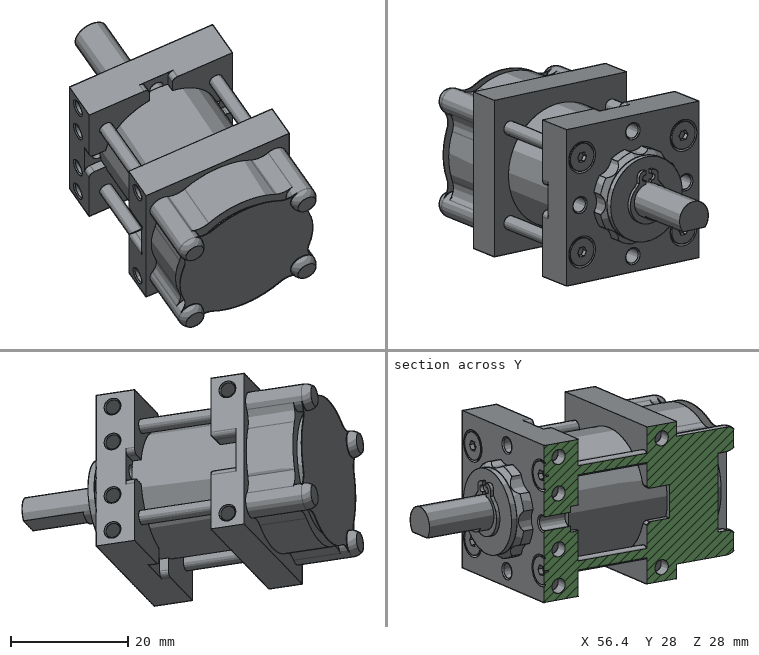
import cadquery as cq
import math

TOTAL_LENGTH = 56.4
FLAT_END = 10.9
CLIP_START = 13.1
WASHER_START = 13.75
NUT_START = 14.9
FRONT_PLATE_START = 17.7
FRONT_PLATE_THICK = 7.0
REAR_PLATE_START = 38.65
REAR_PLATE_THICK = 6.1
HOUSING_END = 53.25
RIM_END = 54.2
SHEET_START = 54.75
SHEET_END = 54.9

FRONT_PLATE_END = FRONT_PLATE_START + FRONT_PLATE_THICK
REAR_PLATE_END = REAR_PLATE_START + REAR_PLATE_THICK

PLATE_SIZE = 28.0
HALF_PLATE = PLATE_SIZE / 2

SHAFT_RADIUS = 3.05
SHAFT_FLAT_DEPTH = 2.0

CLIP_RADIUS = 3.9
CLIP_DROP = 0.35
LUG_TOP = 5.35
LUG_HALF_WIDTH = 2.0
LUG_CORNER_RADIUS = 1.05
LUG_GAP = 1.1
LUG_FOOT_Z = 3.25
LUG_BLEND = (3.1, 2.0)
LUG_HOLE_RADIUS = 0.55
LUG_HOLE_Y = 0.75
LUG_HOLE_Z = 4.05

WASHER_RADIUS = 7.55
NUT_RADIUS = 8.4
NUT_CHAMFER = 0.9
SCALLOP_COUNT = 8
SCALLOP_RADIUS = 3.1
SCALLOP_OFFSET = 10.8

BODY_RADIUS = 11.0
ROD_RADIUS = 1.25
ROD_Y = 10.7
ROD_Z = 8.45

HOUSING_RADIUS = 13.0
POST_RADIUS = 2.3
POST_Y = 10.95
POST_Z = 9.2
POST_BLEND_RADIUS = 3.4
RIM_RADIUS = 11.0

TAP_RADIUS = 1.3
TAP_MOUTH_RADIUS = 1.5
TAP_DEPTH = 4.5
FACE_TAP_OFFSET = 11.15
OUTER_TAP_Z = 11.45
INNER_TAP_Z = 4.95
FRONT_TAP_X = 20.7
REAR_TAP_X = 41.7

SCREW_HEAD_RADIUS = 2.5
SCREW_MOUTH_RADIUS = 2.8
SOCKET_FLATS = 1.65
SOCKET_DEPTH = 0.9

FRONT_NOTCH_DEPTH = 1.6
FRONT_NOTCH_HALF_WIDTH = 2.25
REAR_NOTCH_DEPTH = 4.55
REAR_NOTCH_HALF_WIDTH = 2.95
NOTCH_MOUTH_RADIUS = 1.0
REAR_NOTCH_CHAMFER = 0.5


def cylinder(radius, x_start, x_end, y=0, z=0):
    return cq.Workplane("YZ", origin=(x_start, y, z)).circle(radius).extrude(x_end - x_start)


def plate(x_start, thickness):
    return cq.Workplane("YZ", origin=(x_start, 0, 0)).rect(PLATE_SIZE, PLATE_SIZE).extrude(thickness)


def four_corners(y, z):
    return [(sy * y, sz * z) for sy in (1, -1) for sz in (1, -1)]


def tap_hole(mouth, direction, depth):
    """A drilled hole with a 45 degree countersunk mouth."""
    mouth = cq.Vector(*mouth)
    direction = cq.Vector(*direction)
    bore = cq.Solid.makeCylinder(TAP_RADIUS, depth, mouth, direction)
    sink = cq.Solid.makeCone(
        TAP_MOUTH_RADIUS, TAP_RADIUS, TAP_MOUTH_RADIUS - TAP_RADIUS, mouth, direction
    )
    return cq.Workplane(bore).union(cq.Workplane(sink))


def screw_groove(y, z):
    """V groove left between a flush screw head and its countersunk hole mouth."""
    depth = SCREW_MOUTH_RADIUS - SCREW_HEAD_RADIUS
    mouth = cq.Solid.makeCone(
        SCREW_MOUTH_RADIUS,
        SCREW_HEAD_RADIUS,
        depth,
        cq.Vector(FRONT_PLATE_START, y, z),
        cq.Vector(1, 0, 0),
    )
    head = cylinder(SCREW_HEAD_RADIUS, FRONT_PLATE_START, FRONT_PLATE_START + depth, y, z)
    return cq.Workplane(mouth).cut(head)


def screw_socket(y, z):
    """Hexagon socket with its flats at top and bottom."""
    socket = (
        cq.Workplane("YZ", origin=(FRONT_PLATE_START, y, z))
        .polygon(6, SOCKET_FLATS, circumscribed=True)
        .extrude(SOCKET_DEPTH)
    )
    return socket.rotate((0, y, z), (1, y, z), 30)


def notch(x_start, depth, half_width):
    """Cutter for a notch reaching from the axis out through -Y, its mouth rounded."""
    rounding = NOTCH_MOUTH_RADIUS
    mouth = half_width + rounding
    bend = rounding * (1 - math.sqrt(0.5))
    bend_y = -HALF_PLATE + bend
    return (
        cq.Workplane("YZ", origin=(x_start, 0, 0))
        .moveTo(0, -half_width)
        .lineTo(-HALF_PLATE + rounding, -half_width)
        .threePointArc((bend_y, -half_width - bend), (-HALF_PLATE, -mouth))
        .lineTo(-HALF_PLATE, mouth)
        .threePointArc((bend_y, half_width + bend), (-HALF_PLATE + rounding, half_width))
        .lineTo(0, half_width)
        .close()
        .extrude(depth)
    )


def turned(shape, angle):
    return shape.rotate((0, 0, 0), (1, 0, 0), angle)


def make_shaft():
    flat = (
        cq.Workplane("XY", origin=(0, 0, -SHAFT_FLAT_DEPTH))
        .rect(2 * FLAT_END, 4 * SHAFT_RADIUS)
        .extrude(-SHAFT_RADIUS)
    )
    return cylinder(SHAFT_RADIUS, 0, FRONT_PLATE_START).cut(flat)


def make_clip():
    ring = cylinder(CLIP_RADIUS, CLIP_START, WASHER_START, z=-CLIP_DROP)
    shoulder_y = LUG_HALF_WIDTH - LUG_CORNER_RADIUS
    lug = (
        cq.Workplane("YZ", origin=(CLIP_START, 0, 0))
        .moveTo(0, 0)
        .lineTo(*LUG_BLEND)
        .lineTo(LUG_HALF_WIDTH, LUG_FOOT_Z)
        .lineTo(LUG_HALF_WIDTH, LUG_TOP - LUG_CORNER_RADIUS)
        .radiusArc((shoulder_y, LUG_TOP), -LUG_CORNER_RADIUS)
        .lineTo(0, LUG_TOP)
        .close()
        .extrude(WASHER_START - CLIP_START)
    )
    clip = ring.union(lug).union(lug.mirror("XZ"))
    gap = cq.Workplane("XY").box(
        2 * WASHER_START, LUG_GAP, LUG_TOP, centered=(True, True, False)
    )
    clip = clip.cut(gap)
    for side in (1, -1):
        hole = cylinder(LUG_HOLE_RADIUS, CLIP_START, WASHER_START, side * LUG_HOLE_Y, LUG_HOLE_Z)
        clip = clip.cut(hole)
    return clip


def make_nut():
    nut = cylinder(NUT_RADIUS, NUT_START, FRONT_PLATE_START).faces("<X").chamfer(NUT_CHAMFER)
    scallop = cylinder(SCALLOP_RADIUS, NUT_START, FRONT_PLATE_START, z=SCALLOP_OFFSET)
    for i in range(SCALLOP_COUNT):
        nut = nut.cut(turned(scallop, i * 360 / SCALLOP_COUNT))
    return nut


def make_front_plate():
    block = plate(FRONT_PLATE_START, FRONT_PLATE_THICK)
    cutter = notch(FRONT_PLATE_END - FRONT_NOTCH_DEPTH, FRONT_NOTCH_DEPTH, FRONT_NOTCH_HALF_WIDTH)
    face_tap = tap_hole((FRONT_PLATE_START, 0, FACE_TAP_OFFSET), (1, 0, 0), FRONT_PLATE_THICK)
    for angle in (0, 90, 180, 270):
        block = block.cut(turned(cutter, angle)).cut(turned(face_tap, angle))

    for y, z in four_corners(ROD_Y, ROD_Z):
        block = block.cut(screw_groove(y, z)).cut(screw_socket(y, z))
    return block


def make_rear_plate():
    edge = REAR_NOTCH_HALF_WIDTH
    chamfer = REAR_NOTCH_CHAMFER
    lead_in = (
        cq.Workplane("XZ", origin=(REAR_PLATE_START, 0, 0))
        .polyline([(0, -edge - chamfer), (chamfer, -edge), (chamfer, edge), (0, edge + chamfer)])
        .close()
        .extrude(HALF_PLATE)
    )
    cutter = notch(REAR_PLATE_START, REAR_NOTCH_DEPTH, edge).union(lead_in)
    block = plate(REAR_PLATE_START, REAR_PLATE_THICK)
    return block.cut(cutter)


def make_side_taps():
    spots = [(FRONT_TAP_X, z) for z in (OUTER_TAP_Z, INNER_TAP_Z, -INNER_TAP_Z, -OUTER_TAP_Z)]
    spots += [(REAR_TAP_X, z) for z in (OUTER_TAP_Z, -OUTER_TAP_Z)]
    return [tap_hole((x, -HALF_PLATE, z), (0, 1, 0), TAP_DEPTH) for x, z in spots]


def housing_outline(x_start):
    """Round outline with a boss at each post, joined to the circle by hollow fillets."""
    post_angle = math.atan2(POST_Z, POST_Y)
    post_distance = math.hypot(POST_Y, POST_Z)
    blend_distance = HOUSING_RADIUS + POST_BLEND_RADIUS
    reach = POST_RADIUS + POST_BLEND_RADIUS
    spread = math.acos(
        (blend_distance**2 + post_distance**2 - reach**2) / (2 * blend_distance * post_distance)
    )

    def polar(radius, angle):
        return (radius * math.cos(angle), radius * math.sin(angle))

    def boss_points(angle):
        """Tangent points before and after the post, in order of growing angle."""
        post = polar(post_distance, angle)
        on_boss = []
        for side in (-1, 1):
            blend = polar(blend_distance, angle + side * spread)
            share = POST_RADIUS / reach
            on_boss.append(tuple(p + (b - p) * share for p, b in zip(post, blend)))
        return (
            polar(HOUSING_RADIUS, angle - spread),
            on_boss[0],
            polar(post_distance + POST_RADIUS, angle),
            on_boss[1],
            polar(HOUSING_RADIUS, angle + spread),
        )

    angles = [post_angle, math.pi - post_angle, math.pi + post_angle, 2 * math.pi - post_angle]
    outline = cq.Workplane("YZ", origin=(x_start, 0, 0)).moveTo(*boss_points(angles[0])[0])
    next_angles = angles[1:] + [angles[0] + 2 * math.pi]
    for angle, next_angle in zip(angles, next_angles):
        _, boss_start, boss_tip, boss_end, leave = boss_points(angle)
        outline = (
            outline.radiusArc(boss_start, POST_BLEND_RADIUS)
            .threePointArc(boss_tip, boss_end)
            .radiusArc(leave, POST_BLEND_RADIUS)
            .threePointArc(
                polar(HOUSING_RADIUS, (angle + next_angle) / 2),
                boss_points(next_angle)[0],
            )
        )
    return outline.close()


def make_post_head(y, z):
    """A ball of the post's radius, cut flat at the overall length."""
    height = TOTAL_LENGTH - SHEET_END
    tip_radius = math.sqrt(POST_RADIUS**2 - height**2)
    return (
        cq.Workplane("XY", origin=(SHEET_END, y, z))
        .lineTo(0, POST_RADIUS)
        .radiusArc((height, tip_radius), POST_RADIUS)
        .lineTo(height, 0)
        .close()
        .revolve(360, (0, 0, 0), (1, 0, 0))
    )


def make_housing():
    housing = housing_outline(REAR_PLATE_END).extrude(HOUSING_END - REAR_PLATE_END)
    housing = housing.union(cylinder(RIM_RADIUS, HOUSING_END, RIM_END))
    for y, z in four_corners(POST_Y, POST_Z):
        housing = housing.union(cylinder(POST_RADIUS, REAR_PLATE_END, SHEET_END, y, z))
    housing = housing.union(housing_outline(SHEET_START).extrude(SHEET_END - SHEET_START))
    for y, z in four_corners(POST_Y, POST_Z):
        housing = housing.union(make_post_head(y, z))
    return housing


result = (
    make_front_plate()
    .union(make_rear_plate())
    .union(make_nut())
    .union(cylinder(WASHER_RADIUS, WASHER_START, NUT_START))
    .union(make_clip())
    .union(make_shaft())
    .union(cylinder(BODY_RADIUS, FRONT_PLATE_END - FRONT_NOTCH_DEPTH, REAR_PLATE_END))
    .union(make_housing())
)
for tap in make_side_taps():
    result = result.cut(tap)
for rod_y, rod_z in four_corners(ROD_Y, ROD_Z):
    result = result.union(cylinder(ROD_RADIUS, FRONT_PLATE_END, REAR_PLATE_START, rod_y, rod_z))